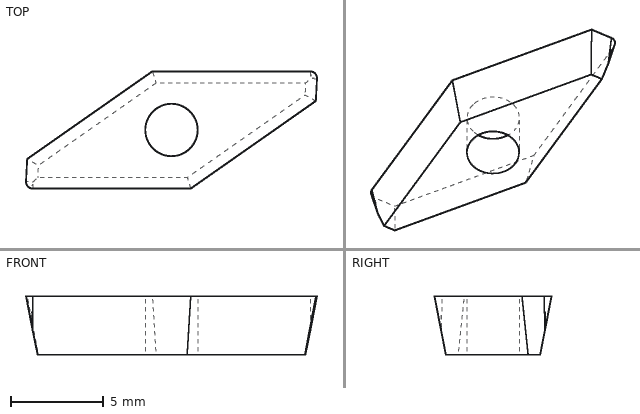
import cadquery as cq
import math

length = 15.75
width = 6.35
thickness = 3.18
relief_angle = 11.0
point_angle = 35.0
end_lean = 3.0
end_height = 1.6
nose_radius = 0.38
hole_diameter = 2.82

lean = math.radians(end_lean)
half_width = width / 2

nose_x = nose_radius - length / 2
nose_y = nose_radius - half_width
end_tangent = (nose_x - nose_radius * math.cos(lean), nose_y + nose_radius * math.sin(lean))
edge_tangent = (nose_x, -half_width)
nose_tip_x = end_tangent[0] - (end_tangent[1] + half_width) * math.tan(lean)

shoulder_x = nose_tip_x + end_height * math.tan(lean)
shoulder_y = end_height - half_width
slant_run = (half_width - shoulder_y) / math.tan(math.radians(point_angle))
peak_x = shoulder_x + slant_run

half_outline = [(nose_tip_x, -half_width), (-peak_x, -half_width), (-shoulder_x, -shoulder_y)]
outline = half_outline + [(-x, -y) for x, y in half_outline]


def make_blank():
    """Sharp-cornered body tapering inward from the top face down to Z = 0."""
    body = cq.Workplane("XY").polyline(outline).close().extrude(thickness, taper=relief_angle)
    return body.mirror("XY").translate((0, 0, thickness))


def make_nose_cutter():
    """Waste outside the conical nose, whose radius shrinks to zero below the top."""
    cone_depth = nose_radius / math.tan(math.radians(relief_angle))
    apex = cq.Vector(nose_x, nose_y, thickness - cone_depth)
    corner = [(nose_x, nose_y), end_tangent, (nose_tip_x, -half_width), edge_tangent]
    block = cq.Workplane("XY", origin=(0, 0, apex.z)).polyline(corner).close().extrude(cone_depth)
    cone = cq.Solid.makeCone(0, nose_radius, cone_depth, apex)
    return block.cut(cq.Workplane(obj=cone))


result = make_blank()
for turn in (0, 180):
    result = result.cut(make_nose_cutter().rotate((0, 0, 0), (0, 0, 1), turn))

result = result.cut(cq.Workplane("XY").circle(hole_diameter / 2).extrude(thickness))